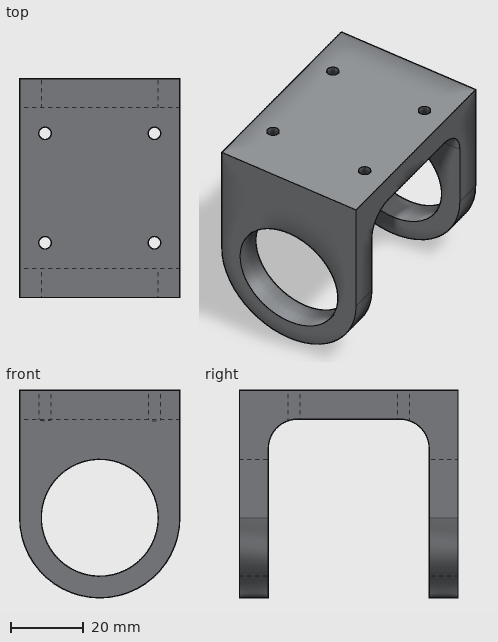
import cadquery as cq

width = 44.0
length = 60.0
wall = 8.0
corner_radius = wall

bore_diameter = 32.0
bore_depth = 35.0
ring_radius = width / 2

hole_diameter = 3.35
hole_spacing = 30.0
hole_depth = wall + corner_radius


def side_silhouette():
    """Flat-topped outline with a full-round lower end, running along Y."""
    return (
        cq.Workplane("XZ", origin=(0, length / 2, 0))
        .moveTo(-width / 2, 0)
        .lineTo(width / 2, 0)
        .lineTo(width / 2, -bore_depth)
        .threePointArc((0, -bore_depth - ring_radius), (-width / 2, -bore_depth))
        .close()
        .extrude(length)
    )


def leg_gap():
    """Space between the legs, with rounded upper corners."""
    height = bore_depth + ring_radius
    return (
        cq.Workplane("XY", origin=(0, 0, -wall))
        .box(width, length - 2 * wall, height, centered=(True, True, False))
        .translate((0, 0, -height))
        .edges("|X and >Z")
        .fillet(corner_radius)
    )


def bore():
    """Bore along Y through both legs."""
    return (
        cq.Workplane("XZ", origin=(0, length / 2, 0))
        .center(0, -bore_depth)
        .circle(bore_diameter / 2)
        .extrude(length)
    )


def mounting_holes():
    """Square pattern of four holes through the plate and the edges of the fillets."""
    return (
        cq.Workplane("XY")
        .rarray(hole_spacing, hole_spacing, 2, 2)
        .circle(hole_diameter / 2)
        .extrude(-hole_depth)
    )


result = side_silhouette().cut(leg_gap()).cut(bore()).cut(mounting_holes())